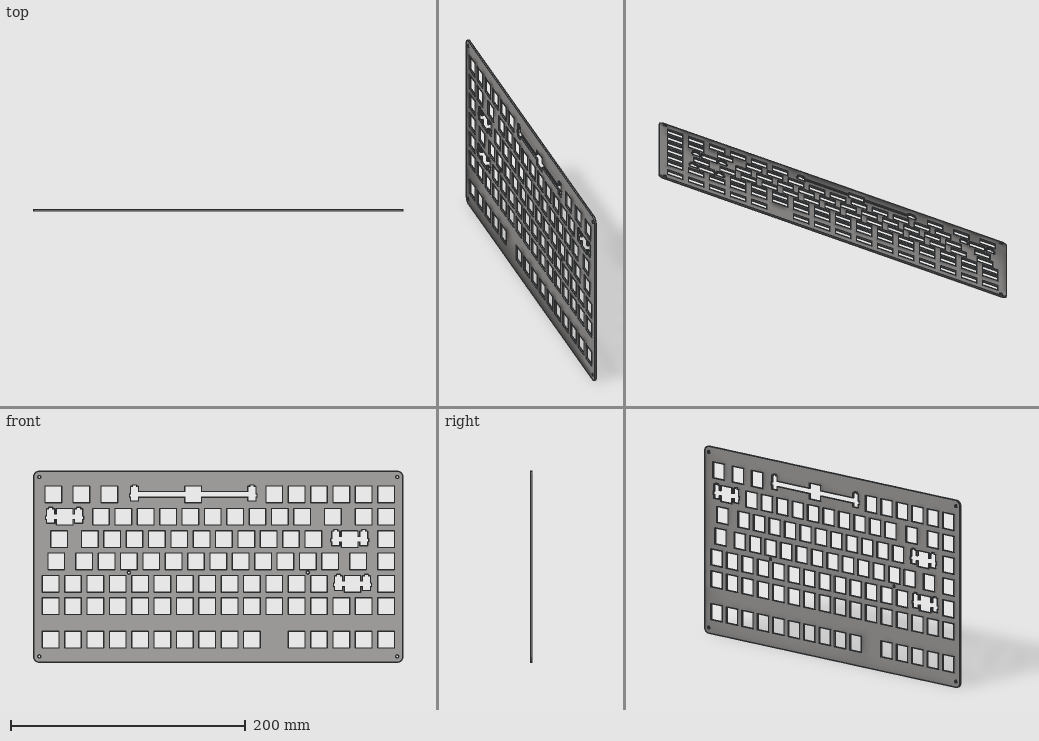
import cadquery as cq

UNIT = 19.05
COLUMNS = 16
SIDE_BORDER = 5.0
END_BORDER = 10.0
THICKNESS = 1.5
CORNER_RADIUS = 5.0

SWITCH_SIZE = 14.0

FIELD_SHIFT_X = 0.09
FIELD_SHIFT_Z = -0.26

ROW_DROPS = [0, 1, 2, 3, 4, 5, 6.5]
ROW_SPAN = ROW_DROPS[-1] * UNIT
ROW_Z = [FIELD_SHIFT_Z + ROW_SPAN / 2 - drop * UNIT for drop in ROW_DROPS]

PLATE_WIDTH = COLUMNS * UNIT + 2 * SIDE_BORDER
PLATE_HEIGHT = ROW_SPAN + UNIT + 2 * END_BORDER

KEY_ROWS = [
    [1.25] * 3 + [6.25] + [1] * 6,
    [2.25] + [1] * 10 + [1.75] + [1] * 2,
    [1.75] + [1] * 11 + [2.25, 1],
    [1.5] + [1] * 12 + [1.5, 1],
    [1] * 13 + [2, 1],
    [1] * 16,
    [1] * 16,
]
BLANK_KEY = (6, 10)

WIDE_KEY = 2
LONG_KEY = 6.25
SHORT_STABILIZER_OFFSET = 11.938
LONG_STABILIZER_OFFSET = 50.0
STABILIZER_WIDTH = 6.65
STABILIZER_BOTTOM = -5.53
STABILIZER_TOP = 6.77
TAB_WIDTH = 3.3
TAB_TOP = 7.97
NOTCH_REACH = 4.2
NOTCH_BOTTOM = -2.3
NOTCH_TOP = 0.5
WIRE_SLOT_HEIGHT = 4.6

SCREW_DIAMETER = 2.5
SCREW_INSET = 5.0
INNER_SCREW_X = 4 * UNIT
INNER_SCREW_Z = (ROW_Z[3] + ROW_Z[4]) / 2


def box(x_min, x_max, z_min, z_max):
    """Block through the plate thickness, between the given X and Z limits."""
    block = cq.Workplane("XY").box(x_max - x_min, THICKNESS, z_max - z_min)
    return block.translate(((x_min + x_max) / 2, 0, (z_min + z_max) / 2))


def switch_cutout(x, z):
    half = SWITCH_SIZE / 2
    return box(x - half, x + half, z - half, z + half)


def stabilizer_cutout(x, z, side):
    """Stabilizer pocket centred on x; side is -1 or 1, pointing away from the switch."""
    half = STABILIZER_WIDTH / 2
    half_tab = TAB_WIDTH / 2
    notch_x = sorted([x, x + side * NOTCH_REACH])
    pocket = box(x - half, x + half, z + STABILIZER_BOTTOM, z + STABILIZER_TOP)
    tab = box(x - half_tab, x + half_tab, z, z + TAB_TOP)
    notch = box(*notch_x, z + NOTCH_BOTTOM, z + NOTCH_TOP)
    return pocket.union(tab).union(notch)


def stabilized_cutout(x, z, offset):
    """Switch cutout with a stabilizer on each side, joined by the wire slot."""
    half_slot = WIRE_SLOT_HEIGHT / 2
    cutout = switch_cutout(x, z)
    cutout = cutout.union(box(x - offset, x + offset, z - half_slot, z + half_slot))
    for side in (-1, 1):
        cutout = cutout.union(stabilizer_cutout(x + side * offset, z, side))
    return cutout


def key_cutouts():
    cutouts = []
    for row, widths in enumerate(KEY_ROWS):
        left = FIELD_SHIFT_X - COLUMNS * UNIT / 2
        for place, width in enumerate(widths):
            x = left + width * UNIT / 2
            left += width * UNIT
            if (row, place) == BLANK_KEY:
                continue
            if width >= WIDE_KEY:
                offset = LONG_STABILIZER_OFFSET if width == LONG_KEY else SHORT_STABILIZER_OFFSET
                cutouts.append(stabilized_cutout(x, ROW_Z[row], offset).val())
            else:
                cutouts.append(switch_cutout(x, ROW_Z[row]).val())
    return cq.Compound.makeCompound(cutouts)


def screw_holes():
    corner_x = PLATE_WIDTH / 2 - SCREW_INSET
    corner_z = PLATE_HEIGHT / 2 - SCREW_INSET
    centres = []
    for side in (-1, 1):
        centres.append((side * corner_x, corner_z))
        centres.append((side * corner_x, -corner_z))
        centres.append((FIELD_SHIFT_X + side * INNER_SCREW_X, INNER_SCREW_Z))
    holes = cq.Workplane("XZ").pushPoints(centres).circle(SCREW_DIAMETER / 2)
    return holes.extrude(THICKNESS / 2, both=True)


def blank_plate():
    plate = cq.Workplane("XY").box(PLATE_WIDTH, THICKNESS, PLATE_HEIGHT)
    return plate.edges("|Y").fillet(CORNER_RADIUS)


result = blank_plate().cut(cq.Workplane(key_cutouts())).cut(screw_holes())